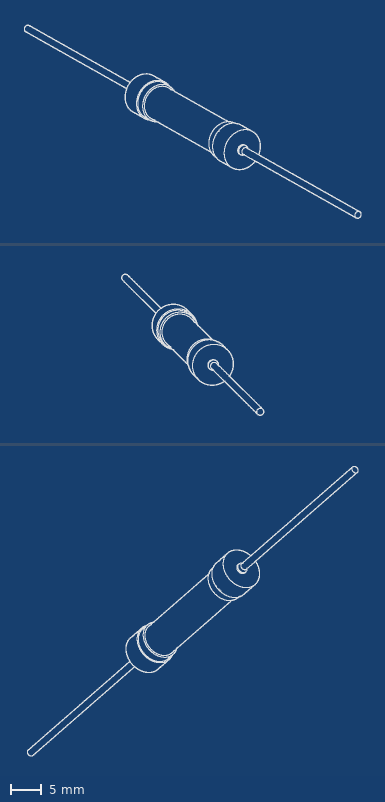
import cadquery as cq

overall_length = 108.7
body_length = 32.6

end_diameter = 6.8
end_length = 3.8
shoulder_diameter = 6.4
shoulder_length = 1.6
barrel_diameter = 5.8

wire_diameter = 1.2
collar_diameter = 1.7
collar_length = 0.9
collar_taper_length = 0.5


def cylinder_along_x(start, length, diameter):
    """Round bar running in +X from the given X position."""
    return cq.Workplane("YZ", origin=(start, 0, 0)).circle(diameter / 2).extrude(length)


def make_body():
    """Barrel with a stepped shoulder and a wide cylinder at each end."""
    half_length = body_length / 2
    stepped_length = end_length + shoulder_length
    body = cylinder_along_x(-half_length, body_length, barrel_diameter)
    for start in (-half_length, half_length - stepped_length):
        body = body.union(cylinder_along_x(start, stepped_length, shoulder_diameter))
    for start in (-half_length, half_length - end_length):
        body = body.union(cylinder_along_x(start, end_length, end_diameter))
    return body


def make_lead(turn):
    """Lead standing on the +X end of the body, then turned about Z by the given angle."""
    lead_start = body_length / 2
    wire_length = (overall_length - body_length) / 2
    wire = cylinder_along_x(lead_start, wire_length, wire_diameter)
    collar = cylinder_along_x(lead_start, collar_length, collar_diameter)
    taper_depth = (collar_diameter - wire_diameter) / 2
    collar = collar.faces(">X").chamfer(collar_taper_length, taper_depth)
    lead = wire.union(collar)
    return lead.rotate((0, 0, 0), (0, 0, 1), turn)


body = make_body()
leads = [make_lead(turn) for turn in (0, 180)]

result = cq.Compound.makeCompound([body.val(), *[lead.val() for lead in leads]])